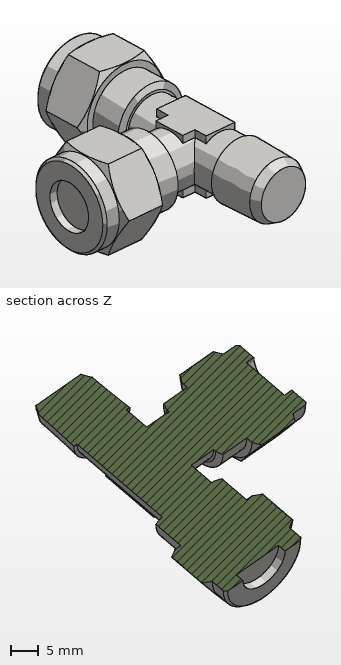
import cadquery as cq
import math


overall_length = 55.0
run_arm_length = 32.0
branch_arm_length = 31.0
thread_arm_length = overall_length - run_arm_length

body_radius = 6.0
block_reach = 6.5
block_half_width = 3.5

nut_sides = 6
nut_across_flats = 19.0
nut_start = 3.5
nut_length = 10.0
nut_chamfer_angle = 30
cap_radius = 9.35
cap_chamfer = 0.55
socket_radius = 5.05
socket_depth = 1.75

collar_radius = 8.0
collar_cone_drop = 1.45
run_collar_end = 20.6
branch_collar_end = 19.75
collar_cone_length = 0.5

thread_length = 11.65
thread_back_radius = 6.75
thread_front_radius = 6.5
thread_chamfer_length = 1.9
thread_tip_radius = 5.45


def revolve_about_z(points):
    """Solid of revolution from (radius, height) points."""
    return cq.Workplane("XZ").polyline(points).close().revolve(360, (0, 0, 0), (0, 1, 0))


def chamfered_hexagon():
    """Nut hexagon with corners along X and both ends turned to a cone."""
    across_corners = nut_across_flats / math.cos(math.pi / nut_sides)
    corner_radius = across_corners / 2
    chamfer_length = (corner_radius - cap_radius) * math.tan(math.radians(nut_chamfer_angle))
    nut_end = nut_start + nut_length
    hexagon = (
        cq.Workplane("XY")
        .workplane(offset=nut_start)
        .polygon(nut_sides, across_corners)
        .extrude(nut_length)
    )
    envelope = revolve_about_z([
        (0, nut_start),
        (cap_radius, nut_start),
        (corner_radius, nut_start + chamfer_length),
        (corner_radius, nut_end - chamfer_length),
        (cap_radius, nut_end),
        (0, nut_end),
    ])
    return hexagon.intersect(envelope)


def nut_arm(arm_length, collar_end):
    """Arm whose free end is at height 0 and whose body root is at height arm_length."""
    core = revolve_about_z([
        (0, 0),
        (cap_radius - cap_chamfer, 0),
        (cap_radius, cap_chamfer),
        (cap_radius, nut_start),
        (collar_radius, nut_start),
        (collar_radius, collar_end - collar_cone_length),
        (collar_radius - collar_cone_drop, collar_end),
        (body_radius, collar_end),
        (body_radius, arm_length),
        (0, arm_length),
    ])
    socket = cq.Workplane("XY").circle(socket_radius).extrude(socket_depth)
    return core.union(chamfered_hexagon()).cut(socket)


def thread_arm():
    """Plain body with a tapered thread blank at its tip, rising from the origin."""
    thread_start = thread_arm_length - thread_length
    return revolve_about_z([
        (0, 0),
        (body_radius, 0),
        (body_radius, thread_start),
        (thread_back_radius, thread_start),
        (thread_front_radius, thread_arm_length - thread_chamfer_length),
        (thread_tip_radius, thread_arm_length),
        (0, thread_arm_length),
    ])


def centre_block():
    """T-shaped block whose flat faces stand proud of the body at top and bottom."""
    thickness = 2 * block_reach
    run = cq.Workplane("XY").box(2 * block_reach, 2 * block_half_width, thickness)
    stem = (
        cq.Workplane("XY")
        .box(2 * block_half_width, block_reach, thickness)
        .translate((0, -block_reach / 2, 0))
    )
    return run.union(stem)


run_arm = (
    nut_arm(run_arm_length, run_collar_end)
    .rotate((0, 0, 0), (0, 0, 1), 90)
    .rotate((0, 0, 0), (0, 1, 0), 90)
    .translate((-run_arm_length, 0, 0))
)

branch_arm = (
    nut_arm(branch_arm_length, branch_collar_end)
    .rotate((0, 0, 0), (1, 0, 0), -90)
    .translate((0, -branch_arm_length, 0))
)

threaded_arm = thread_arm().rotate((0, 0, 0), (0, 1, 0), 90)

result = centre_block().union(run_arm).union(threaded_arm).union(branch_arm)